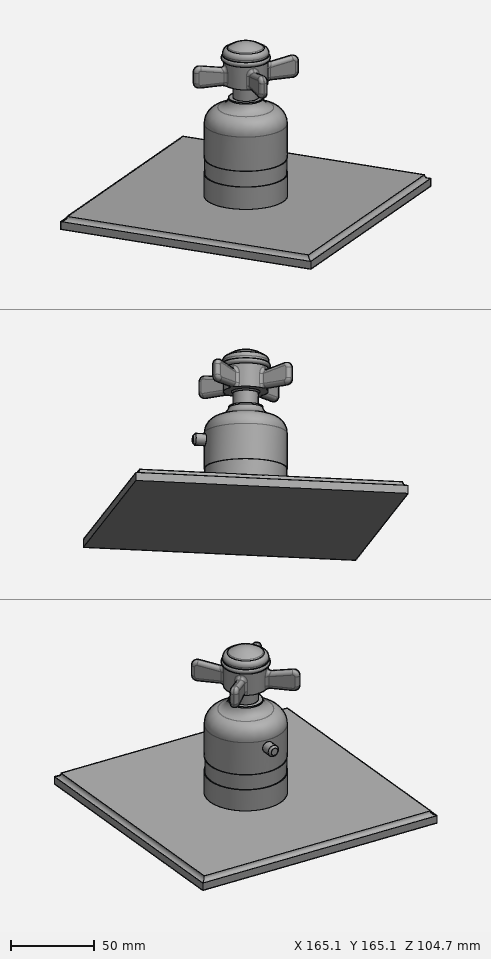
import cadquery as cq
import math

PLATE_SIDE = 165.1
PLATE_THICKNESS = 7.8
COVE_RADIUS = 2.8

BASE_RADIUS = 25.0
BODY_RADIUS = 24.8
SCALE_RING_RADIUS = 24.5
SCALE_RING_BOTTOM = 21.8
SCALE_RING_TOP = 31.7
SHOULDER_BOTTOM = 53.3
SHOULDER_RADIUS = 10.2
NECK_FLARE_RADIUS = 16.7
NECK_RADIUS = 10.2
NECK_FLARE_TOP = 69.0
NECK_TOP = 69.8

STEM_RADIUS = 7.6
HUB_RADIUS = 13.4
HUB_BOTTOM = 79.1
HUB_COLLAR_RADIUS = 8.6
HUB_COLLAR_HEIGHT = 1.0

CAP_BOTTOM = 93.3
CAP_RIM_RADIUS = 14.7
CAP_RIM_TOP = 96.5
CAP_STEP_RADIUS = 13.9
CAP_STEP_HEIGHT = 97.7
CAP_LEDGE_RADIUS = 11.0
CAP_LEDGE_HEIGHT = 100.9
CROWN_RADIUS = 10.4
CROWN_BOTTOM = 101.5
CROWN_TOP = 104.7

ARM_COUNT = 4
ARM_START_ANGLE = 45.0
ARM_REACH = 33.0
ARM_WIDTH = 5.3
ARM_TIP_TOP = 93.6
ARM_AXIS_TOP = 87.5
ARM_TIP_CORNER = 3.6
ARM_EDGE_FILLET = 2.5
ARM_ROOT_FILLET = 2.0

PIN_RADIUS = 3.6
PIN_HEIGHT = 48.4
PIN_REACH = 32.0
PIN_TIP_CHAMFER = 1.3


def make_plate():
    plate = cq.Workplane("XY").box(
        PLATE_SIDE, PLATE_SIDE, PLATE_THICKNESS, centered=(True, True, False)
    )
    half_side = PLATE_SIDE / 2
    for quarter in range(4):
        cove = (
            cq.Workplane("XZ", origin=(0, half_side, 0))
            .center(half_side, PLATE_THICKNESS)
            .circle(COVE_RADIUS)
            .extrude(PLATE_SIDE)
        )
        plate = plate.cut(cove.rotate((0, 0, 0), (0, 0, 1), 90 * quarter))
    return plate


def make_body():
    shoulder_center = BODY_RADIUS - SHOULDER_RADIUS
    shoulder_end = math.acos((NECK_FLARE_RADIUS - shoulder_center) / SHOULDER_RADIUS)
    flare_bottom = SHOULDER_BOTTOM + SHOULDER_RADIUS * math.sin(shoulder_end)
    shoulder_middle = (
        shoulder_center + SHOULDER_RADIUS * math.cos(shoulder_end / 2),
        SHOULDER_BOTTOM + SHOULDER_RADIUS * math.sin(shoulder_end / 2),
    )
    profile = (
        cq.Workplane("XZ")
        .lineTo(BASE_RADIUS, 0)
        .lineTo(BASE_RADIUS, SCALE_RING_BOTTOM)
        .lineTo(SCALE_RING_RADIUS, SCALE_RING_BOTTOM)
        .lineTo(SCALE_RING_RADIUS, SCALE_RING_TOP)
        .lineTo(BODY_RADIUS, SCALE_RING_TOP)
        .lineTo(BODY_RADIUS, SHOULDER_BOTTOM)
        .threePointArc(shoulder_middle, (NECK_FLARE_RADIUS, flare_bottom))
        .tangentArcPoint((NECK_RADIUS, NECK_FLARE_TOP), relative=False)
        .lineTo(NECK_RADIUS, NECK_TOP)
        .lineTo(STEM_RADIUS, NECK_TOP)
        .lineTo(STEM_RADIUS, HUB_BOTTOM)
        .lineTo(0, HUB_BOTTOM)
        .close()
    )
    return profile.revolve(360, (0, 0, 0), (0, 1, 0))


def make_collar():
    return cq.Workplane("XY").add(
        cq.Solid.makeCone(
            STEM_RADIUS, HUB_COLLAR_RADIUS, HUB_COLLAR_HEIGHT,
            cq.Vector(0, 0, HUB_BOTTOM - HUB_COLLAR_HEIGHT),
        )
    )


def make_cap():
    rim_middle = (CAP_BOTTOM + CAP_RIM_TOP) / 2
    rim_bulge = (CAP_RIM_TOP - CAP_BOTTOM) / 2
    crown_rise = CROWN_TOP - CROWN_BOTTOM
    sphere_radius = (CROWN_RADIUS**2 + crown_rise**2) / (2 * crown_rise)
    crown_half_angle = math.asin(CROWN_RADIUS / sphere_radius) / 2
    crown_middle = (
        sphere_radius * math.sin(crown_half_angle),
        CROWN_TOP - sphere_radius * (1 - math.cos(crown_half_angle)),
    )
    profile = (
        cq.Workplane("XZ")
        .moveTo(0, CAP_BOTTOM)
        .lineTo(CAP_RIM_RADIUS - rim_bulge, CAP_BOTTOM)
        .threePointArc((CAP_RIM_RADIUS, rim_middle), (CAP_RIM_RADIUS - rim_bulge, CAP_RIM_TOP))
        .lineTo(CAP_STEP_RADIUS, CAP_RIM_TOP)
        .lineTo(CAP_STEP_RADIUS, CAP_STEP_HEIGHT)
        .tangentArcPoint((CAP_LEDGE_RADIUS, CAP_LEDGE_HEIGHT), relative=False)
        .lineTo(CROWN_RADIUS, CROWN_BOTTOM)
        .threePointArc(crown_middle, (0, CROWN_TOP))
        .close()
    )
    return profile.revolve(360, (0, 0, 0), (0, 1, 0))


def make_arm():
    side = (
        cq.Workplane("XZ", origin=(0, ARM_WIDTH / 2, 0))
        .moveTo(0, HUB_BOTTOM)
        .lineTo(ARM_REACH, HUB_BOTTOM)
        .lineTo(ARM_REACH, ARM_TIP_TOP)
        .lineTo(0, ARM_AXIS_TOP)
        .close()
        .extrude(ARM_WIDTH)
    )
    arm = side.edges("|Y and >X").fillet(ARM_TIP_CORNER)
    return arm.faces("<Y or >Y").edges("not <X").fillet(ARM_EDGE_FILLET)


def disc(radius, bottom, top):
    return cq.Workplane("XY", origin=(0, 0, bottom)).circle(radius).extrude(top - bottom)


def make_handle():
    spare_bottom = HUB_BOTTOM - 2 * ARM_ROOT_FILLET
    handle = disc(HUB_RADIUS, spare_bottom, CAP_RIM_TOP)
    for index in range(ARM_COUNT):
        angle = ARM_START_ANGLE + index * 360 / ARM_COUNT
        handle = handle.union(make_arm().rotate((0, 0, 0), (0, 0, 1), angle))

    root_zone = cq.selectors.BoxSelector(
        (-HUB_RADIUS, -HUB_RADIUS, HUB_BOTTOM - ARM_ROOT_FILLET),
        (HUB_RADIUS, HUB_RADIUS, CAP_BOTTOM),
        boundingbox=True,
    )
    handle = handle.edges(root_zone).fillet(ARM_ROOT_FILLET)
    return handle.cut(disc(ARM_REACH, spare_bottom, HUB_BOTTOM))


def make_pin():
    return (
        cq.Workplane("XZ", origin=(0, 0, PIN_HEIGHT))
        .circle(PIN_RADIUS)
        .extrude(-PIN_REACH)
        .faces(">Y")
        .chamfer(PIN_TIP_CHAMFER)
    )


result = make_plate().union(make_body()).union(make_pin())
result = result.union(make_handle()).union(make_collar()).union(make_cap())